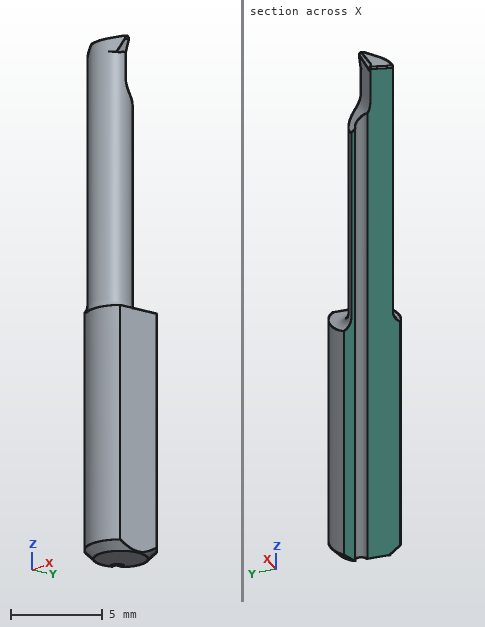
import cadquery as cq
import math


shank_radius = 2.0
flat_x = 1.55
shank_length = 14.0
bottom_chamfer = 0.5
overall_length = 30.0

neck_radius = 1.25
neck_x = -0.95
root_fillet = 0.8

coolant_diameter = 0.7
coolant_x = -1.1
coolant_y = 0.64

rake_y = 0.12
pocket_blend_start_z = 27.68
pocket_blend_radius = 1.26
pocket_ramp_angle = 45.0

edge_y = 0.0
groove_slope = 0.18
groove_end_x = -0.75
groove_wall_x = -1.05

tip_x = 0.57
tip_land_y = -0.15
tip_bottom_z = 29.05
tip_bottom_x = 0.27
tip_land_height = 0.2

relief_slope = 0.12
chamfer_top_x = -1.0

clearance = 1.0


def make_shank():
    shank = cq.Workplane("XY").circle(shank_radius).extrude(shank_length)
    return shank.faces("<Z").chamfer(bottom_chamfer)


def make_neck():
    """Turned neck with a concave root fillet, trimmed to the shank diameter."""
    root_radius = neck_radius + root_fillet
    arc_offset = root_fillet * (1 - math.sqrt(0.5))
    neck = (
        cq.Workplane("XZ", origin=(neck_x, 0, shank_length))
        .lineTo(root_radius, 0)
        .threePointArc(
            (neck_radius + arc_offset, arc_offset),
            (neck_radius, root_fillet),
        )
        .lineTo(neck_radius, overall_length - shank_length)
        .lineTo(0, overall_length - shank_length)
        .close()
        .revolve(360, (0, 0, 0), (0, 1, 0))
    )
    envelope = cq.Workplane("XY").circle(shank_radius).extrude(overall_length)
    return neck.intersect(envelope)


def make_tip():
    """Nose whose flank runs tangent into the neck, with relief below its edge."""
    reach = tip_x - neck_x
    distance = math.hypot(reach, tip_land_y)
    tangent_angle = math.atan2(tip_land_y, reach) - math.acos(neck_radius / distance)
    tangent_point = (
        neck_x + neck_radius * math.cos(tangent_angle),
        neck_radius * math.sin(tangent_angle),
    )
    plan = (
        cq.Workplane("XY", origin=(0, 0, tip_bottom_z))
        .polyline([(neck_x, rake_y), (tip_x, rake_y), (tip_x, tip_land_y), tangent_point, (neck_x, 0)])
        .close()
        .extrude(overall_length - tip_bottom_z)
    )
    side = (
        cq.Workplane("XZ")
        .polyline([
            (neck_x, tip_bottom_z),
            (tip_bottom_x, tip_bottom_z),
            (tip_x, overall_length - tip_land_height),
            (tip_x, overall_length),
            (neck_x, overall_length),
        ])
        .close()
        .extrude(shank_radius, both=True)
    )
    return plan.intersect(side)


def make_shank_flat_cutter():
    return cq.Workplane("XY").box(
        shank_radius, 2 * shank_radius, overall_length, centered=(False, True, False)
    ).translate((flat_x, 0, 0))


def make_pocket_cutter():
    """Flat rake face, rounded into a ramp that runs out on the +Y side."""
    angle = math.radians(pocket_ramp_angle)

    def blend_point(turn):
        return (
            rake_y + pocket_blend_radius * (1 - math.cos(turn)),
            pocket_blend_start_z - pocket_blend_radius * math.sin(turn),
        )

    ramp_y, ramp_z = blend_point(angle)
    outer_y = shank_radius
    outer_z = ramp_z - (outer_y - ramp_y) / math.tan(angle)
    top_z = overall_length + clearance
    return (
        cq.Workplane("YZ")
        .moveTo(rake_y, top_z)
        .lineTo(rake_y, pocket_blend_start_z)
        .threePointArc(blend_point(angle / 2), (ramp_y, ramp_z))
        .lineTo(outer_y, outer_z)
        .lineTo(outer_y, top_z)
        .close()
        .extrude(shank_radius + clearance, both=True)
    )


def make_chip_groove_cutter():
    """Groove with a 45 degree floor, deepening from the tip to a slanted end wall."""
    edge_length = tip_x - groove_end_x
    edge_direction = cq.Vector(-edge_length, 0, -groove_slope * edge_length)
    section = cq.Plane(origin=(tip_x, edge_y, overall_length), xDir=(0, 1, 0), normal=edge_direction)
    floor = (
        cq.Workplane(section)
        .polyline([(-clearance, -clearance), (clearance, clearance), (clearance, -clearance)])
        .close()
        .extrude(edge_length + clearance)
    )
    end_y = edge_y - (groove_slope - relief_slope) * edge_length
    plan = (
        cq.Workplane("XY", origin=(0, 0, tip_bottom_z))
        .polyline([(groove_wall_x, rake_y), (groove_end_x, end_y), (tip_x, edge_y), (tip_x, rake_y)])
        .close()
        .extrude(overall_length - tip_bottom_z)
    )
    return plan.intersect(floor)


def make_top_relief_cutter():
    """Top face and 45 degree back chamfer, both falling away from the cutting edge."""
    tilted = cq.Plane(
        origin=(tip_x, edge_y, overall_length),
        xDir=(1, 0, 0),
        normal=(0, -1, -relief_slope),
    )
    chamfer_top = chamfer_top_x - tip_x
    chamfer_top_drop = chamfer_top * relief_slope
    chamfer_run = shank_radius + clearance + chamfer_top_x
    profile = [
        (clearance, relief_slope * clearance),
        (chamfer_top, chamfer_top_drop),
        (chamfer_top - chamfer_run, chamfer_top_drop - chamfer_run),
        (chamfer_top - chamfer_run, clearance),
        (clearance, clearance),
    ]
    return cq.Workplane(tilted).polyline(profile).close().extrude(2 * shank_radius, both=True)


def make_coolant_hole():
    return (
        cq.Workplane("XY")
        .center(coolant_x, coolant_y)
        .circle(coolant_diameter / 2)
        .extrude(overall_length)
    )


result = (
    make_shank()
    .union(make_neck())
    .union(make_tip())
    .cut(make_shank_flat_cutter())
    .cut(make_pocket_cutter())
    .cut(make_chip_groove_cutter())
    .cut(make_top_relief_cutter())
    .cut(make_coolant_hole())
)